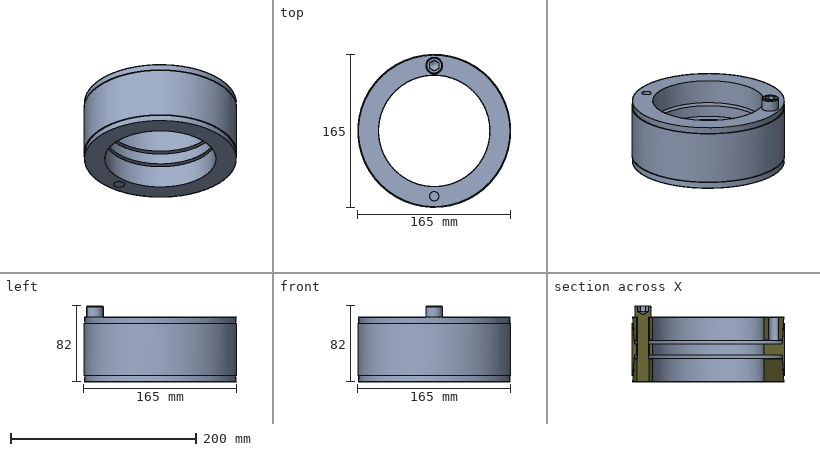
import cadquery as cq
import math


outer_diameter = 165.0
bore_diameter = 120.0
stack_height = 70.0
rim_height = 7.0
web_height = 12.2
gap_height = 3.6

taper_large_diameter = 164.0
taper_angle = 5.0
taper_height = (stack_height - web_height) / 2 - gap_height

bolt_circle_radius = 70.5
shank_diameter = 12.0
clearance_diameter = 13.5
jacking_hole_diameter = 10.0
head_diameter = 18.0
head_height = 12.0
head_chamfer = 1.0
hex_across_flats = 10.0
hex_depth = 6.0
socket_tip_angle = 120.0

bore_radius = bore_diameter / 2
outer_radius = outer_diameter / 2
mid_height = stack_height / 2
web_bottom = mid_height - web_height / 2
web_top = mid_height + web_height / 2
top_ring_bottom = stack_height - taper_height
screw_y = bolt_circle_radius
jacking_y = -bolt_circle_radius


def taper_radius(depth):
    """Radius of the tapered surface at a given depth below the ring's outer face."""
    return taper_large_diameter / 2 - depth * math.tan(math.radians(taper_angle))


def cylinder(diameter, y, bottom, top):
    """Vertical cylinder centred on x = 0."""
    return cq.Workplane("XY", origin=(0, y, bottom)).circle(diameter / 2).extrude(top - bottom)


def revolve_profile(points):
    """Revolve a closed outline of (radius, z) points about the Z axis."""
    return cq.Workplane("XZ").polyline(points).close().revolve(360, (0, 0), (0, 1))


def make_outer_ring():
    """Ring with a tapered seat at each end and a web reaching in to the bore."""
    web_depth = stack_height - web_top
    ring = revolve_profile([
        (outer_radius, rim_height),
        (outer_radius, stack_height - rim_height),
        (taper_radius(rim_height), stack_height - rim_height),
        (taper_radius(web_depth), web_top),
        (bore_radius, web_top),
        (bore_radius, web_bottom),
        (taper_radius(web_depth), web_bottom),
        (taper_radius(rim_height), rim_height),
    ])
    return ring.cut(cylinder(clearance_diameter, screw_y, web_bottom, web_top))


def make_tapered_ring(outer_face, inner_face):
    """Tapered ring, widest at its outer face and narrowest next to the web."""
    return revolve_profile([
        (bore_radius, outer_face),
        (taper_radius(0), outer_face),
        (taper_radius(taper_height), inner_face),
        (bore_radius, inner_face),
    ])


def make_top_ring():
    """Upper tapered ring with the screw clearance hole and the jacking hole."""
    ring = make_tapered_ring(stack_height, top_ring_bottom)
    ring = ring.cut(cylinder(clearance_diameter, screw_y, top_ring_bottom, stack_height))
    return ring.cut(cylinder(jacking_hole_diameter, jacking_y, top_ring_bottom, stack_height))


def make_bottom_ring():
    """Lower tapered ring with the hole that holds the screw thread."""
    ring = make_tapered_ring(0, taper_height)
    return ring.cut(cylinder(shank_diameter, screw_y, 0, taper_height))


def make_hex_socket(head_top):
    """Hexagonal recess with a conical floor and two flats facing +X and -X."""
    corner_radius = hex_across_flats / 2 / math.cos(math.radians(30))
    tip_depth = corner_radius / math.tan(math.radians(socket_tip_angle / 2))
    socket_floor = head_top - hex_depth
    prism = (
        cq.Workplane("XY", origin=(0, 0, socket_floor - tip_depth))
        .transformed(rotate=(0, 0, 90))
        .polygon(6, 2 * corner_radius)
        .extrude(hex_depth + tip_depth)
    )
    drill = revolve_profile([
        (0, socket_floor - tip_depth),
        (corner_radius, socket_floor),
        (corner_radius, head_top),
        (0, head_top),
    ])
    return prism.intersect(drill).translate((0, screw_y, 0))


def make_screw():
    """Socket-head screw seated on the upper ring, its tip flush with the lower face."""
    head_top = stack_height + head_height
    head = cylinder(head_diameter, screw_y, stack_height, head_top)
    head = head.faces(">Z").edges().chamfer(head_chamfer)
    shank = cylinder(shank_diameter, screw_y, 0, stack_height)
    return head.union(shank).cut(make_hex_socket(head_top))


outer_ring = make_outer_ring()
top_ring = make_top_ring()
bottom_ring = make_bottom_ring()
screw = make_screw()

result = cq.Compound.makeCompound([
    outer_ring.solids().val(),
    top_ring.solids().val(),
    bottom_ring.solids().val(),
    screw.solids().val(),
])